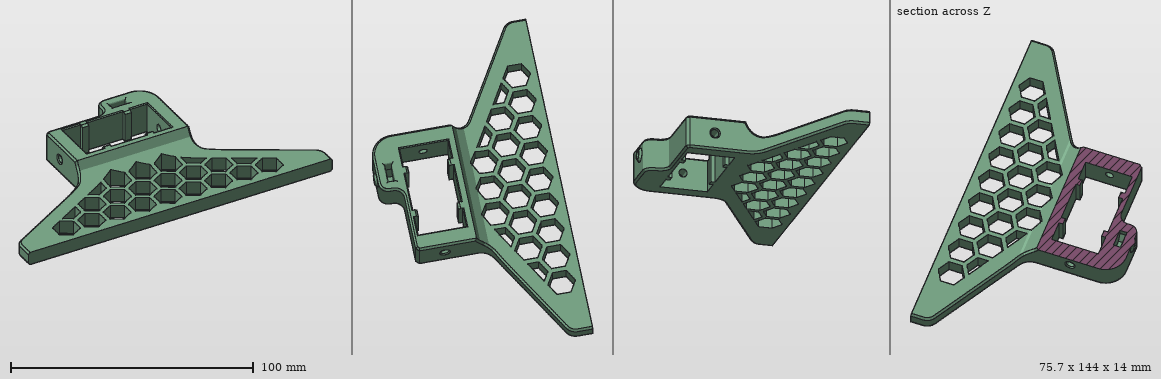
import cadquery as cq
import math

SPAN = 144.0
HEIGHT = 14.0
PLATE_THICKNESS = 6.0
EDGE_CHAMFER = 0.9

TIP_RADIUS = 5.0
ROOT_CORNER_X = -35.3
UPPER_WING_INSET = 1.0
WING_ANGLE = math.radians(60)
ROOT_RADIUS = 7.2

BLOCK_WIDTH = 54.0
BLOCK_LEFT = -65.4
BLOCK_RIGHT = -39.9
BLOCK_CORNER_CHAMFER = 1.3
TAB_LEFT = -74.7
TAB_BOTTOM = 2.0
TAB_OUTER_RADIUS = 9.0
TAB_RADIUS = 4.0
SWEEP_RADIUS = 12.0

WINDOW_LENGTH = 20.3
WINDOW_WIDTH = 40.0
WINDOW_X = -53.0
WINDOW_CHAMFER = 0.5
RIB_WIDTH = 3.0
RIB_DEPTH = 1.7
RIB_Y = 10.1
RIB_CHAMFER = 0.9

BORE_DIAMETER = 3.5
BORE_X = -53.3
BORE_Z = 7.2
BORE_CHAMFER = 0.5

NUT_X = -69.1
NUT_Y = 10.1
NUT_Z = 9.0
NUT_FLATS = 6.5
NUT_THICKNESS = 2.9
NUT_MOUTH_RADIUS = 1.0
BOSS_BASE_DIAMETER = 6.0
BOSS_HEIGHT = 1.0
SCREW_DIAMETER = 3.2

HEX_FIRST_LENGTH = 96.0
HEX_WALL = 2.0
HEX_COLUMN_X = -8.6
HEX_Y = -1.0
HEX_COLUMN_COUNTS = (9, 8, 5)
HEX_TRIM_SHIFT = 1.2

TOLERANCE = 0.01
HEX_COSINE = math.cos(math.radians(30))

half_span = SPAN / 2
half_block = BLOCK_WIDTH / 2
wing_slope = math.tan(WING_ANGLE)
tip_corner_x = ROOT_CORNER_X + (half_span - half_block) / wing_slope


def upright_edge(x, y):
    """Selects the vertical edge of the full-height blank that stands at (x, y)."""
    return cq.selectors.BoxSelector(
        (x - TOLERANCE, y - TOLERANCE, 0),
        (x + TOLERANCE, y + TOLERANCE, HEIGHT),
    )


def make_blank():
    """Full-height outline of block, tab and wing with its corners rounded."""
    points = [
        (0, -half_span),
        (0, half_span),
        (tip_corner_x + UPPER_WING_INSET, half_span),
        (ROOT_CORNER_X + UPPER_WING_INSET, half_block),
        (TAB_LEFT, half_block),
        (TAB_LEFT, TAB_BOTTOM),
        (BLOCK_LEFT, TAB_BOTTOM),
        (BLOCK_LEFT, -half_block),
        (ROOT_CORNER_X, -half_block),
        (tip_corner_x, -half_span),
    ]
    solid = cq.Workplane("XY").polyline(points).close().extrude(HEIGHT)

    for side, inset in ((1, UPPER_WING_INSET), (-1, 0)):
        solid = solid.edges(upright_edge(tip_corner_x + inset, side * half_span)).fillet(TIP_RADIUS)
        solid = solid.edges(upright_edge(ROOT_CORNER_X + inset, side * half_block)).fillet(ROOT_RADIUS)
    solid = solid.edges(upright_edge(TAB_LEFT, half_block)).fillet(TAB_OUTER_RADIUS)
    solid = solid.edges(upright_edge(TAB_LEFT, TAB_BOTTOM)).fillet(TAB_RADIUS)
    solid = solid.edges(upright_edge(BLOCK_LEFT, TAB_BOTTOM)).fillet(TAB_RADIUS)
    return solid.edges(upright_edge(BLOCK_LEFT, -half_block)).chamfer(BLOCK_CORNER_CHAMFER)


def make_sweep_cutter():
    """Space above the wing plate and the concave sweep that rises from it to the block top."""
    drop = HEIGHT - PLATE_THICKNESS
    sweep_length = math.sqrt(SWEEP_RADIUS**2 - (SWEEP_RADIUS - drop) ** 2)
    sweep_end = BLOCK_RIGHT + sweep_length
    mid_angle = math.asin(sweep_length / SWEEP_RADIUS) / 2
    mid = (
        sweep_end - SWEEP_RADIUS * math.sin(mid_angle),
        PLATE_THICKNESS + SWEEP_RADIUS * (1 - math.cos(mid_angle)),
    )
    return (
        cq.Workplane("XZ")
        .moveTo(BLOCK_RIGHT, HEIGHT)
        .threePointArc(mid, (sweep_end, PLATE_THICKNESS))
        .lineTo(0, PLATE_THICKNESS)
        .lineTo(0, HEIGHT)
        .close()
        .extrude(half_span, both=True)
    )


def is_rim(edge):
    """True for the outline edges, except those running straight across the full width."""
    bounds = edge.BoundingBox()
    is_vertical = bounds.zlen > 0 and bounds.xlen < TOLERANCE and bounds.ylen < TOLERANCE
    is_crosswise = bounds.xlen < TOLERANCE and bounds.ylen > BLOCK_WIDTH - TOLERANCE
    return not (is_vertical or is_crosswise)


def chamfer_rims(solid):
    rims = [edge for edge in solid.edges().vals() if is_rim(edge)]
    return solid.newObject(rims).chamfer(EDGE_CHAMFER)


def make_window():
    window = (
        cq.Workplane("XY")
        .center(WINDOW_X, 0)
        .rect(WINDOW_LENGTH, WINDOW_WIDTH)
        .extrude(HEIGHT)
    )
    lead_in = (
        cq.Workplane("XY", origin=(WINDOW_X, 0, HEIGHT))
        .rect(WINDOW_LENGTH + 2 * WINDOW_CHAMFER, WINDOW_WIDTH + 2 * WINDOW_CHAMFER)
        .extrude(-WINDOW_CHAMFER, taper=45)
    )
    return window.union(lead_in)


def make_ribs():
    """Four upright ribs inside the window, each chamfered at its top."""
    root = WINDOW_LENGTH / 2 + WINDOW_CHAMFER
    wall = WINDOW_LENGTH / 2
    profile = [
        (root, 0),
        (root, HEIGHT),
        (wall - RIB_DEPTH + RIB_CHAMFER, HEIGHT),
        (wall - RIB_DEPTH, HEIGHT - RIB_CHAMFER),
        (wall - RIB_DEPTH, 0),
    ]
    rib = cq.Workplane("XZ").polyline(profile).close().extrude(RIB_WIDTH / 2, both=True)
    pair = rib.translate((0, RIB_Y, 0)).union(rib.translate((0, -RIB_Y, 0)))
    ribs = pair.union(pair.mirror("YZ"))
    return ribs.translate((WINDOW_X, 0, 0))


def make_bore():
    bore = (
        cq.Workplane("XZ", origin=(BORE_X, 0, BORE_Z))
        .circle(BORE_DIAMETER / 2)
        .extrude(half_block, both=True)
    )
    for side in (1, -1):
        mouth = cq.Solid.makeCone(
            BORE_DIAMETER / 2 + BORE_CHAMFER,
            BORE_DIAMETER / 2,
            BORE_CHAMFER,
            cq.Vector(BORE_X, side * half_block, BORE_Z),
            cq.Vector(0, -side, 0),
        )
        bore = bore.union(cq.Workplane(mouth))
    return bore


def make_boss():
    radius = BOSS_BASE_DIAMETER / 2
    return cq.Workplane(
        cq.Solid.makeCone(
            radius,
            radius - BOSS_HEIGHT,
            BOSS_HEIGHT,
            cq.Vector(TAB_LEFT, NUT_Y, NUT_Z),
            cq.Vector(-1, 0, 0),
        )
    )


def make_nut_pocket():
    """Hexagonal nut seat open to the top, with a screw hole through the boss."""
    corners = NUT_FLATS / HEX_COSINE
    seat = (
        cq.Workplane("YZ", origin=(NUT_X, NUT_Y, NUT_Z))
        .polygon(6, corners)
        .extrude(NUT_THICKNESS / 2, both=True)
    )
    slot = (
        cq.Workplane("XY", origin=(NUT_X, NUT_Y, NUT_Z))
        .rect(NUT_THICKNESS, corners)
        .extrude(HEIGHT - NUT_Z)
    )
    boss_face = TAB_LEFT - BOSS_HEIGHT
    screw_hole = (
        cq.Workplane("YZ", origin=(boss_face, NUT_Y, NUT_Z))
        .circle(SCREW_DIAMETER / 2)
        .extrude(NUT_X - boss_face)
    )
    return seat.union(slot).union(screw_hole)


def round_nut_mouth(solid):
    rim = cq.selectors.BoxSelector(
        (NUT_X - NUT_THICKNESS, NUT_Y - NUT_FLATS, HEIGHT - TOLERANCE),
        (NUT_X + NUT_THICKNESS, NUT_Y + NUT_FLATS, HEIGHT + TOLERANCE),
    )
    return solid.edges(rim).fillet(NUT_MOUTH_RADIUS)


def make_honeycomb():
    pitch = HEX_FIRST_LENGTH / (HEX_COLUMN_COUNTS[0] - 1)
    corners = (pitch - HEX_WALL) / HEX_COSINE
    column_step = pitch * HEX_COSINE
    centers = []
    for column, count in enumerate(HEX_COLUMN_COUNTS):
        x = HEX_COLUMN_X - column * column_step
        centers += [(x, HEX_Y + (row - (count - 1) / 2) * pitch) for row in range(count)]
    cells = cq.Workplane("XY").pushPoints(centers).polygon(6, corners).extrude(HEIGHT)

    trim_x = HEX_COLUMN_X - column_step + HEX_TRIM_SHIFT
    trim_y = (HEX_COLUMN_COUNTS[1] - 1) / 2 * pitch
    left = BLOCK_RIGHT
    left_y = trim_y + (left - trim_x) * wing_slope
    right_y = trim_y - trim_x * wing_slope
    field = (
        cq.Workplane("XY")
        .center(0, HEX_Y)
        .polyline([(left, -left_y), (left, left_y), (0, right_y), (0, -right_y)])
        .close()
        .extrude(HEIGHT)
    )
    return cells.intersect(field)


body = chamfer_rims(make_blank().cut(make_sweep_cutter()))
body_with_nut_seat = round_nut_mouth(body.union(make_boss()).cut(make_nut_pocket()))
result = (
    body_with_nut_seat
    .cut(make_window())
    .union(make_ribs())
    .cut(make_bore())
    .cut(make_honeycomb())
)